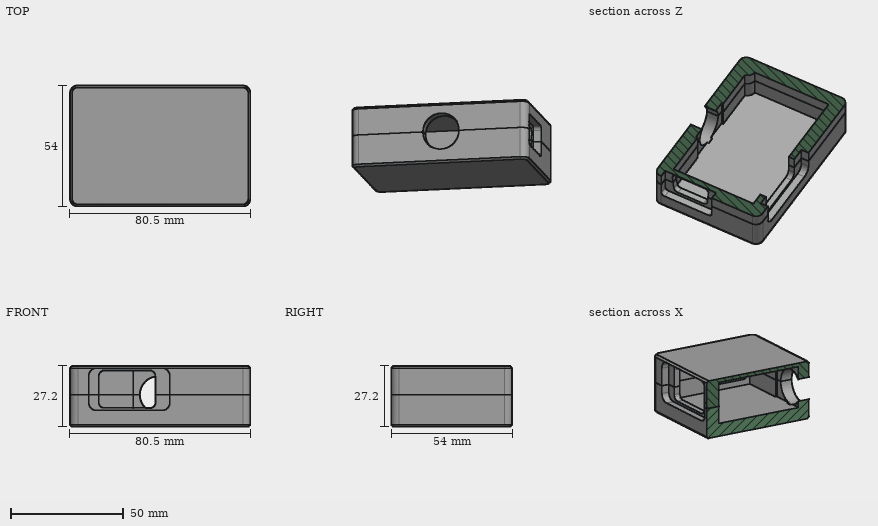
import cadquery as cq

LENGTH = 80.55
WIDTH = 54.05
HEIGHT = 27.2
CORNER_RADIUS = 3.5
EDGE_CHAMFER = 1.0
SEAM_Z = 14.3

FLOOR = 6.3
ROOF = 1.9
OPENING_RECESS_DEPTH = 3.6
WINDOW_DEPTH = 3.0
WALL = OPENING_RECESS_DEPTH + WINDOW_DEPTH
CAVITY_LENGTH = LENGTH - 2 * WALL
CAVITY_WIDTH = WIDTH - 2 * WALL
CAVITY_HEIGHT = HEIGHT - FLOOR - ROOF

POST_RADIUS = 3.6
POST_FRONT_Y = 17.5
POST_X = CAVITY_LENGTH / 2
POST_Y = POST_FRONT_Y + POST_RADIUS

FRONT_RECESS_LENGTH = 36.25
FRONT_RECESS_BOTTOM = 7.3
FRONT_RECESS_TOP = HEIGHT - EDGE_CHAMFER
FRONT_RECESS_X = -13.8
FRONT_RECESS_RADIUS = 3.55
FRONT_WINDOW_LENGTH = 25.3
FRONT_WINDOW_X = -14.75
FRONT_WINDOW_INSET = 1.1
FRONT_WINDOW_RADIUS = 2.5

END_OPENING_Y = 10.2
END_RECESS_WIDTH = 25.9
END_RECESS_HEIGHT = 14.0
END_RECESS_RADIUS = 1.7
END_WINDOW_TOP_WIDTH = 19.0
END_WINDOW_BOTTOM_WIDTH = 16.75
END_WINDOW_HEIGHT = 10.6
END_WINDOW_RADIUS = 2.0

BACK_HOLE_DIAMETER = 16.4
BACK_HOLE_X = -0.8
BACK_RELIEF_LENGTH = 22.55
BACK_RELIEF_DEPTH = 0.8


def upright_block(length, width, height, base_z):
    """Box centred on the Z axis, standing on base_z."""
    block = cq.Workplane("XY").box(length, width, height, centered=(True, True, False))
    return block.translate((0, 0, base_z))


def outer_shell():
    """Solid case with round upright corners and chamfered top and bottom rims."""
    shell = upright_block(LENGTH, WIDTH, HEIGHT, 0)
    shell = shell.edges("|Z").fillet(CORNER_RADIUS)
    return shell.faces("<Z or >Z").chamfer(EDGE_CHAMFER)


def cavity():
    """Inner space, less the corner post, plus the relief in its +Y wall."""
    space = upright_block(CAVITY_LENGTH, CAVITY_WIDTH, CAVITY_HEIGHT, FLOOR)
    relief = upright_block(BACK_RELIEF_LENGTH, 2 * BACK_RELIEF_DEPTH, CAVITY_HEIGHT, FLOOR)
    relief = relief.translate((BACK_HOLE_X, CAVITY_WIDTH / 2, 0))
    post = cq.Workplane("XY").workplane(offset=FLOOR).center(POST_X, POST_Y)
    post = post.circle(POST_RADIUS).extrude(CAVITY_HEIGHT)
    return space.union(relief).cut(post)


def front_opening():
    """Recess and window through the -Y wall."""
    recess_height = FRONT_RECESS_TOP - FRONT_RECESS_BOTTOM
    middle_z = (FRONT_RECESS_TOP + FRONT_RECESS_BOTTOM) / 2
    window_height = recess_height - 2 * FRONT_WINDOW_INSET
    recess = cq.Workplane("XY").box(FRONT_RECESS_LENGTH, 2 * OPENING_RECESS_DEPTH, recess_height)
    recess = recess.edges("|Y").fillet(FRONT_RECESS_RADIUS)
    recess = recess.translate((FRONT_RECESS_X, -WIDTH / 2, middle_z))
    window = cq.Workplane("XY").box(FRONT_WINDOW_LENGTH, 2 * WALL, window_height)
    window = window.edges("|Y").fillet(FRONT_WINDOW_RADIUS)
    window = window.translate((FRONT_WINDOW_X, -WIDTH / 2, middle_z))
    return recess.union(window)


def end_opening():
    """Recess and tapered connector window through the -X wall."""
    recess = cq.Workplane("XY").box(2 * OPENING_RECESS_DEPTH, END_RECESS_WIDTH, END_RECESS_HEIGHT)
    recess = recess.edges("|X").fillet(END_RECESS_RADIUS)
    half_top = END_WINDOW_TOP_WIDTH / 2
    half_bottom = END_WINDOW_BOTTOM_WIDTH / 2
    half_height = END_WINDOW_HEIGHT / 2
    outline = [
        (half_top, half_height),
        (-half_top, half_height),
        (-half_bottom, -half_height),
        (half_bottom, -half_height),
    ]
    window = cq.Workplane("YZ").polyline(outline).close().extrude(WALL)
    window = window.edges("|X").fillet(END_WINDOW_RADIUS)
    return recess.union(window).translate((-LENGTH / 2, END_OPENING_Y, SEAM_Z))


def back_hole():
    """Round hole through the +Y wall, centred on the seam."""
    hole = cq.Workplane("XZ").circle(BACK_HOLE_DIAMETER / 2).extrude(-WALL)
    return hole.translate((BACK_HOLE_X, CAVITY_WIDTH / 2, SEAM_Z))


def case():
    """Whole hollow case, before it is parted at the seam."""
    hollow = outer_shell().cut(cavity())
    for opening in (front_opening(), end_opening(), back_hole()):
        hollow = hollow.cut(opening)
    return hollow


def case_part(base_z, top_z):
    """The slice of the case between two heights."""
    return case().intersect(upright_block(LENGTH, WIDTH, top_z - base_z, base_z))


tray = case_part(0, SEAM_Z)
lid = case_part(SEAM_Z, HEIGHT)

result = cq.Compound.makeCompound([tray.val(), lid.val()])